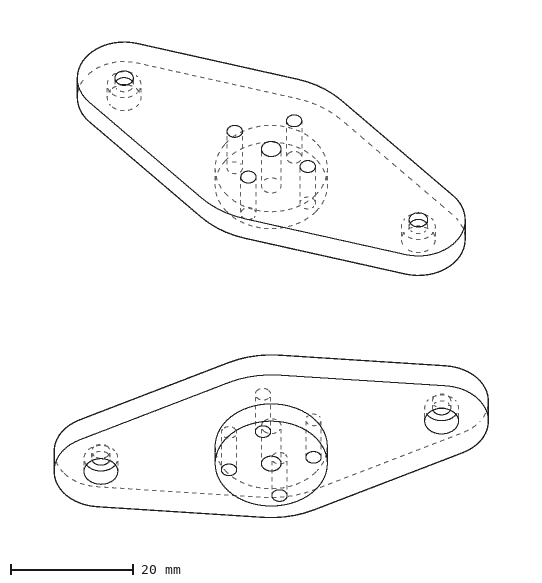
import cadquery as cq
import math

plate_thickness = 5.0
hub_radius = 15.35
end_radius = 7.625
end_distance = 28.22
long_axis_angle = 21.88

boss_diameter = 18.25
boss_height = 4.3

centre_hole_diameter = 3.2
end_hole_diameter = 3.0
screw_hole_diameter = 2.5
screw_circle_radius = 7.0
screw_count = 4

counterbore_diameter = 5.5
counterbore_depth = 3.3

total_height = plate_thickness + boss_height


def polar(radius, angle):
    """Point at a radius and an angle in radians."""
    return radius * math.cos(angle), radius * math.sin(angle)


def make_plate():
    """Diamond plate with its long axis on X and its underside at Z = 0."""
    touch_angle = math.acos((hub_radius - end_radius) / end_distance)
    hub_x, hub_y = polar(hub_radius, touch_angle)
    end_dx, end_y = polar(end_radius, touch_angle)
    end_x = end_distance + end_dx
    tip_x = end_distance + end_radius
    return (
        cq.Workplane("XY")
        .moveTo(hub_x, hub_y)
        .lineTo(end_x, end_y)
        .threePointArc((tip_x, 0), (end_x, -end_y))
        .lineTo(hub_x, -hub_y)
        .threePointArc((0, -hub_radius), (-hub_x, -hub_y))
        .lineTo(-end_x, -end_y)
        .threePointArc((-tip_x, 0), (-end_x, end_y))
        .lineTo(-hub_x, hub_y)
        .threePointArc((0, hub_radius), (hub_x, hub_y))
        .close()
        .extrude(plate_thickness)
    )


def make_boss():
    """Round boss hanging from the underside of the plate."""
    return cq.Workplane("XY").circle(boss_diameter / 2).extrude(-boss_height)


def make_holes(points, diameter):
    """Cutters through the full height of the part."""
    return (
        cq.Workplane("XY", origin=(0, 0, -boss_height))
        .pushPoints(points)
        .circle(diameter / 2)
        .extrude(total_height)
    )


def make_counterbores(points):
    """Cutters rising from the underside of the plate."""
    return (
        cq.Workplane("XY")
        .pushPoints(points)
        .circle(counterbore_diameter / 2)
        .extrude(counterbore_depth)
    )


end_points = [(-end_distance, 0), (end_distance, 0)]
screw_points = [
    polar(screw_circle_radius, 2 * math.pi * index / screw_count)
    for index in range(screw_count)
]

part = make_plate().union(make_boss())
part = part.cut(make_holes([(0, 0)], centre_hole_diameter))
part = part.cut(make_holes(end_points, end_hole_diameter))
part = part.cut(make_counterbores(end_points))
part = part.cut(make_holes(screw_points, screw_hole_diameter))

result = part.rotate((0, 0, 0), (0, 0, 1), long_axis_angle)